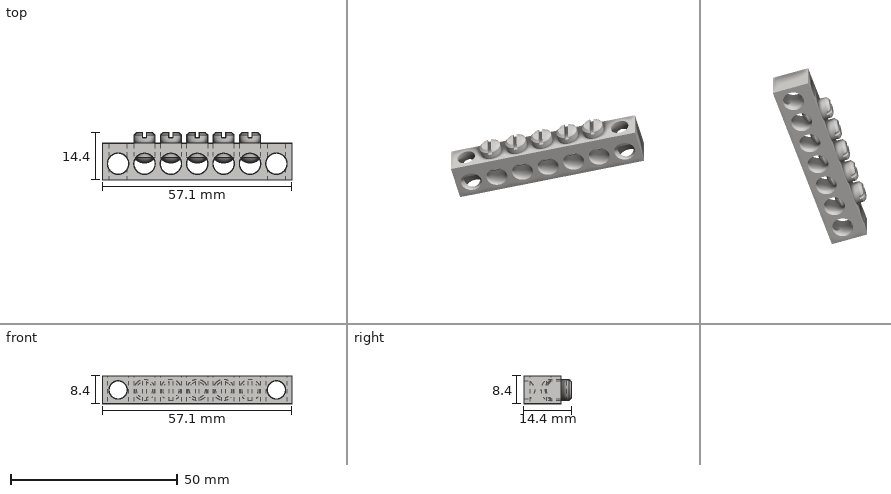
import cadquery as cq
import math

BAR_LENGTH = 57.15
BAR_DEPTH = 11.2
BAR_HEIGHT = 8.4

HOLE_COUNT = 7
HOLE_PITCH = 7.95
WIRE_HOLE_DIAMETER = 6.35
WIRE_HOLE_Y = 5.0

MOUNT_HOLE_DIAMETER = 5.45

SCREW_DIAMETER = 6.35
SCREW_PROJECTION = 3.15
SCREW_CHAMFER = 0.75
TIP_RIM_Y = 6.8
TIP_DOME_HEIGHT = 1.6
SLOT_WIDTH = 1.15
SLOT_DEPTH = 1.5

SCREW_RADIUS = SCREW_DIAMETER / 2
SCREW_TOP_Y = BAR_DEPTH + SCREW_PROJECTION

hole_xs = [(i - (HOLE_COUNT - 1) / 2) * HOLE_PITCH for i in range(HOLE_COUNT)]
mount_xs = [hole_xs[0], hole_xs[-1]]
screw_xs = hole_xs[1:-1]


def screw_blank(x):
    """Turned shape of a screw: chamfered head, plain shank and domed tip, without the slot."""
    tip_y = TIP_RIM_Y - TIP_DOME_HEIGHT
    dome_radius = (SCREW_RADIUS**2 + TIP_DOME_HEIGHT**2) / (2 * TIP_DOME_HEIGHT)
    half_angle = math.asin(SCREW_RADIUS / dome_radius) / 2
    dome_mid = (
        dome_radius * math.sin(half_angle),
        tip_y + dome_radius * (1 - math.cos(half_angle)),
    )
    return (
        cq.Workplane("XY")
        .moveTo(0, tip_y)
        .threePointArc(dome_mid, (SCREW_RADIUS, TIP_RIM_Y))
        .lineTo(SCREW_RADIUS, SCREW_TOP_Y - SCREW_CHAMFER)
        .lineTo(SCREW_RADIUS - SCREW_CHAMFER, SCREW_TOP_Y)
        .lineTo(0, SCREW_TOP_Y)
        .close()
        .revolve(360, (0, 0, 0), (0, 1, 0))
        .translate((x, 0, 0))
    )


def make_screw(x):
    """Set screw with a slot across its head, running along Z."""
    slot = cq.Workplane("XY").box(SLOT_WIDTH, SLOT_DEPTH, SCREW_DIAMETER)
    slot = slot.translate((x, SCREW_TOP_Y - SLOT_DEPTH / 2, 0))
    return screw_blank(x).cut(slot)


def make_bar():
    bar = cq.Workplane("XY").box(BAR_LENGTH, BAR_DEPTH, BAR_HEIGHT, centered=(True, False, True))

    wire_holes = (
        cq.Workplane("XY", origin=(0, 0, -BAR_HEIGHT / 2))
        .pushPoints([(x, WIRE_HOLE_Y) for x in hole_xs])
        .circle(WIRE_HOLE_DIAMETER / 2)
        .extrude(BAR_HEIGHT)
    )
    bar = bar.cut(wire_holes)

    mount_holes = (
        cq.Workplane("XZ")
        .pushPoints([(x, 0) for x in mount_xs])
        .circle(MOUNT_HOLE_DIAMETER / 2)
        .extrude(-BAR_DEPTH)
    )
    bar = bar.cut(mount_holes)

    for x in screw_xs:
        bar = bar.cut(screw_blank(x))
    return bar


bar = make_bar()
screws = [make_screw(x) for x in screw_xs]

result = cq.Compound.makeCompound([bar.solids().val(), *[screw.solids().val() for screw in screws]])